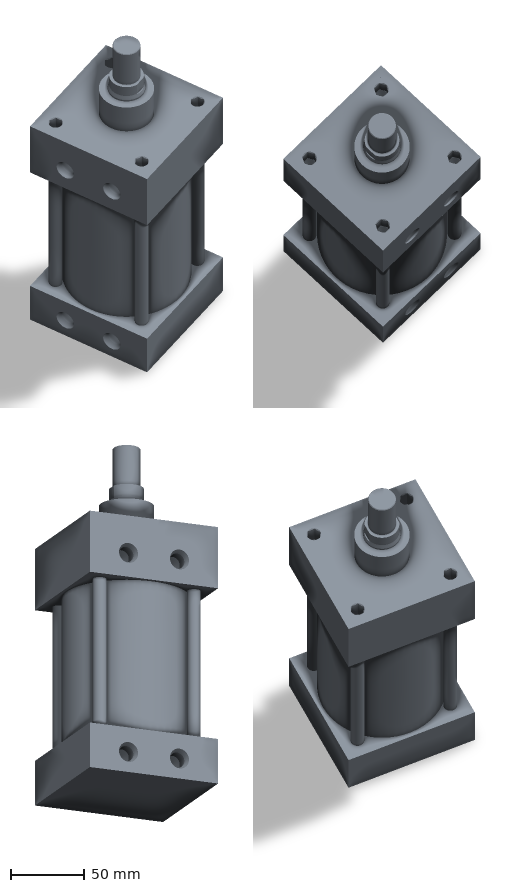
import cadquery as cq
import math

TOTAL_HEIGHT = 247.6
CAP_HEIGHT = 32.0
BARREL_LENGTH = 108.0
HEAD_HEIGHT = 43.8
NOSE_HEIGHT = 22.5

BLOCK_SIDE = 95.3
BARREL_DIAMETER = 89.0

TIE_ROD_SPACING = 70.0
TIE_ROD_DIAMETER = 9.5
NUT_DIAMETER = 17.5
NUT_HEIGHT = 14.9
SOCKET_FLATS = 8.7
SOCKET_MOUTH_DIAMETER = 10.2
SOCKET_DEPTH = 12.5

PORT_SPACING = 38.0
PORT_DIAMETER = 11.0
PORT_MOUTH_DIAMETER = 14.0
PORT_MOUTH_DEPTH = 4.2
PORT_DEPTH = 12.5
CAP_PORT_Z = 14.4
HEAD_PORT_DROP = 26.7
DRILL_TIP_ANGLE = 118.0

GLAND_DIAMETER = 70.0
NOSE_DIAMETER = 38.0

ROD_DIAMETER = 25.8
ROD_STICK_OUT = 1.2
COLLAR_DIAMETER = 23.8
COLLAR_FLATS = 22.3
FLAT_HEIGHT = 9.0
SHOULDER_HEIGHT = 3.0
COLLAR_LENGTH = 8.5
SPIGOT_DIAMETER = 19.0
SPIGOT_CHAMFER = 0.5

BARREL_TOP_Z = CAP_HEIGHT + BARREL_LENGTH
HEAD_TOP_Z = BARREL_TOP_Z + HEAD_HEIGHT
NOSE_TOP_Z = HEAD_TOP_Z + NOSE_HEIGHT
NUT_BOTTOM_Z = HEAD_TOP_Z - NUT_HEIGHT
HEAD_PORT_Z = HEAD_TOP_Z - HEAD_PORT_DROP
SHOULDER_Z = NOSE_TOP_Z + ROD_STICK_OUT
COLLAR_Z = SHOULDER_Z + SHOULDER_HEIGHT
SPIGOT_Z = COLLAR_Z + COLLAR_LENGTH

TIE_ROD_PLACES = [
    (x_side * TIE_ROD_SPACING / 2, y_side * TIE_ROD_SPACING / 2)
    for x_side in (-1, 1)
    for y_side in (-1, 1)
]


def cylinder(diameter, bottom_z, top_z, places=((0, 0),)):
    """Upright cylinders of one size, one at each (x, y) place."""
    return (
        cq.Workplane("XY", origin=(0, 0, bottom_z))
        .pushPoints(places)
        .circle(diameter / 2)
        .extrude(top_z - bottom_z)
    )


def block(bottom_z, height):
    """A square block centred on the cylinder axis."""
    return cq.Workplane("XY", origin=(0, 0, bottom_z)).rect(BLOCK_SIDE, BLOCK_SIDE).extrude(height)


def revolved(outline):
    """Solid of revolution about the Z axis from an outline of (radius, z) points."""
    return cq.Workplane("XZ").polyline(outline).close().revolve(360, (0, 0, 0), (0, 1, 0))


def drill_tip_height(diameter):
    """Height of the cone that a drill of this diameter leaves at the bottom of a hole."""
    return diameter / 2 / math.tan(math.radians(DRILL_TIP_ANGLE / 2))


def port_cutter():
    """Blind port going down from the origin: tapered mouth, bore and conical tip."""
    radius = PORT_DIAMETER / 2
    return revolved([
        (0, 0),
        (PORT_MOUTH_DIAMETER / 2, 0),
        (radius, -PORT_MOUTH_DEPTH),
        (radius, -PORT_DEPTH),
        (0, -PORT_DEPTH - drill_tip_height(PORT_DIAMETER)),
    ])


def socket_cutter():
    """Hexagon socket going down from the origin, with a 45 degree round mouth and a conical tip."""
    corner_diameter = SOCKET_FLATS / math.cos(math.pi / 6)
    hexagon = cq.Workplane("XY").polygon(6, corner_diameter).extrude(-SOCKET_DEPTH)
    mouth_radius = SOCKET_MOUTH_DIAMETER / 2
    mouth = revolved([(0, 0), (mouth_radius, 0), (0, -mouth_radius)])
    tip_bottom_z = -SOCKET_DEPTH - drill_tip_height(SOCKET_FLATS)
    tip = revolved([(0, -SOCKET_DEPTH), (SOCKET_FLATS / 2, -SOCKET_DEPTH), (0, tip_bottom_z)])
    return hexagon.union(mouth).union(tip)


def cut_ports(body, port_z):
    """Cut the pair of ports into the -Y face at one height."""
    port = port_cutter().rotate((0, 0, 0), (1, 0, 0), 90)
    for side in (-1, 1):
        body = body.cut(port.translate((side * PORT_SPACING / 2, -BLOCK_SIDE / 2, port_z)))
    return body


def tie_rods():
    """Four tie rods with nuts, from the top of the cap to the top of the head."""
    shanks = cylinder(TIE_ROD_DIAMETER, CAP_HEIGHT, HEAD_TOP_Z, TIE_ROD_PLACES)
    nuts = cylinder(NUT_DIAMETER, NUT_BOTTOM_Z, HEAD_TOP_Z, TIE_ROD_PLACES)
    return shanks.union(nuts)


def make_base():
    """Rear cap with the barrel and the tie rods standing on it."""
    base = block(0, CAP_HEIGHT)
    base = base.union(cylinder(BARREL_DIAMETER, CAP_HEIGHT, BARREL_TOP_Z))
    base = base.union(tie_rods())
    socket = socket_cutter()
    for x, y in TIE_ROD_PLACES:
        base = base.cut(socket.translate((x, y, HEAD_TOP_Z)))
    return cut_ports(base, CAP_PORT_Z)


def make_head():
    """Front head, with fitting holes for the gland and the tie rods."""
    head = block(BARREL_TOP_Z, HEAD_HEIGHT)
    head = head.cut(cylinder(GLAND_DIAMETER, BARREL_TOP_Z, HEAD_TOP_Z))
    head = head.cut(tie_rods())
    return cut_ports(head, HEAD_PORT_Z)


def make_gland():
    """Gland bush, flush with the head, with a nose around the piston rod."""
    gland = cylinder(GLAND_DIAMETER, BARREL_TOP_Z, HEAD_TOP_Z)
    gland = gland.union(cylinder(NOSE_DIAMETER, HEAD_TOP_Z, NOSE_TOP_Z))
    return gland.cut(cylinder(ROD_DIAMETER, BARREL_TOP_Z, NOSE_TOP_Z))


def make_piston_rod():
    """Piston rod with a tapered shoulder, a collar with two flats and a plain spigot."""
    rod_radius = ROD_DIAMETER / 2
    collar_radius = COLLAR_DIAMETER / 2
    spigot_radius = SPIGOT_DIAMETER / 2
    outline = [
        (0, BARREL_TOP_Z),
        (rod_radius, BARREL_TOP_Z),
        (rod_radius, SHOULDER_Z),
        (collar_radius, COLLAR_Z),
        (collar_radius, SPIGOT_Z),
        (spigot_radius, SPIGOT_Z),
        (spigot_radius, TOTAL_HEIGHT - SPIGOT_CHAMFER),
        (spigot_radius - SPIGOT_CHAMFER, TOTAL_HEIGHT),
        (0, TOTAL_HEIGHT),
    ]
    rod = revolved(outline)
    flat_bottom_z = SPIGOT_Z - FLAT_HEIGHT
    for side in (-1, 1):
        cutter_x = side * (COLLAR_FLATS + COLLAR_DIAMETER) / 2
        beyond_flat = (
            cq.Workplane("XY", origin=(cutter_x, 0, flat_bottom_z))
            .rect(COLLAR_DIAMETER, ROD_DIAMETER)
            .extrude(FLAT_HEIGHT)
        )
        rod = rod.cut(beyond_flat)
    return rod


base = make_base()
head = make_head()
gland = make_gland()
piston_rod = make_piston_rod()

result = cq.Compound.makeCompound([base.val(), head.val(), gland.val(), piston_rod.val()])